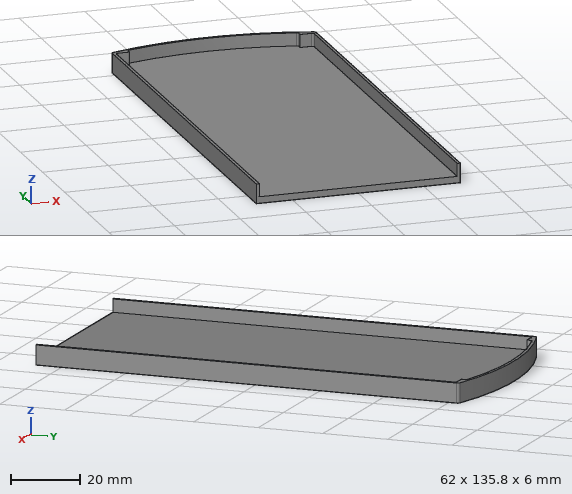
import cadquery as cq

width = 62.0
length = 135.8
height = 6.0

floor_thickness = 2.0
wall = 1.0
arch_rise = 5.0
corner_block_width = 5.0
corner_block_depth = 6.1
outer_corner_radius = 1.0
inner_corner_radius = 0.7

half_width = width / 2
front_y = -length / 2
crown_y = length / 2
shoulder_y = crown_y - arch_rise
block_face_y = crown_y - corner_block_depth

arch_radius = (half_width**2 + arch_rise**2) / (2 * arch_rise)
arch_center_y = crown_y - arch_radius
inner_arch_radius = arch_radius - wall
inner_half_width = half_width - wall
recess_half_width = half_width - corner_block_width
recess_end_y = arch_center_y + (inner_arch_radius**2 - recess_half_width**2) ** 0.5


def make_body():
    """Solid plate with one arched end and softened shoulders."""
    body = (
        cq.Workplane("XY")
        .moveTo(-half_width, front_y)
        .lineTo(half_width, front_y)
        .lineTo(half_width, shoulder_y)
        .threePointArc((0, crown_y), (-half_width, shoulder_y))
        .close()
        .extrude(height)
    )
    return body.edges("|Z").edges(">Y").fillet(outer_corner_radius)


def make_cavity():
    """Space above the floor, open at the front and stepped in at the corner blocks."""
    cavity = (
        cq.Workplane("XY", origin=(0, 0, floor_thickness))
        .moveTo(-inner_half_width, front_y)
        .lineTo(inner_half_width, front_y)
        .lineTo(inner_half_width, block_face_y)
        .lineTo(recess_half_width, block_face_y)
        .lineTo(recess_half_width, recess_end_y)
        .threePointArc((0, crown_y - wall), (-recess_half_width, recess_end_y))
        .lineTo(-recess_half_width, block_face_y)
        .lineTo(-inner_half_width, block_face_y)
        .close()
        .extrude(height - floor_thickness)
    )
    rounded_corners = [
        (side * x, y)
        for side in (-1, 1)
        for x, y in ((inner_half_width, block_face_y), (recess_half_width, recess_end_y))
    ]
    for x, y in rounded_corners:
        corner_edge = cq.selectors.NearestToPointSelector((x, y, (floor_thickness + height) / 2))
        cavity = cavity.edges("|Z").edges(corner_edge).fillet(inner_corner_radius)
    return cavity


result = make_body().cut(make_cavity())